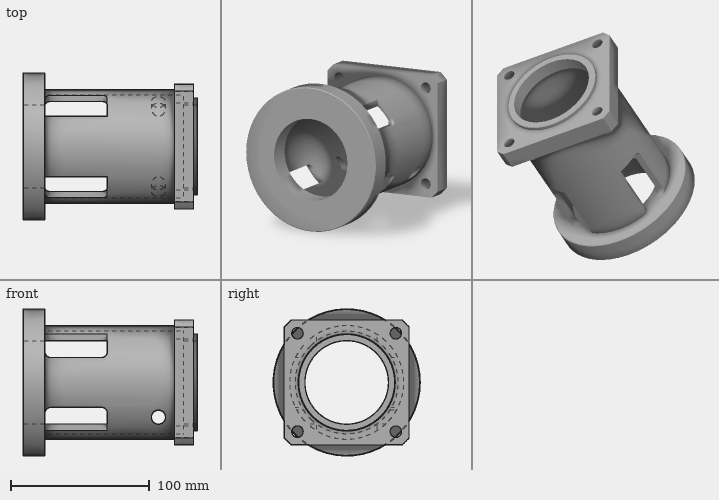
import cadquery as cq
import math

total_length = 125.8
flange_thickness = 16.0
plate_thickness = 14.0
spigot_length = 2.8
spigot_start = total_length - spigot_length
plate_start = spigot_start - plate_thickness
end_wall_thickness = 10.0
tube_bore_end = total_length - end_wall_thickness

flange_diameter = 106.0
tube_diameter = 82.0
tube_bore_diameter = 74.0
end_bore_diameter = 60.0
spigot_diameter = 70.0
edge_chamfer = 0.5

plate_width = 90.0
plate_corner_chamfer = 5.0
bolt_hole_diameter = 8.2
bolt_circle_diameter = 100.0

window_length = 44.7
window_y = 21.8
window_z = 18.0
window_corner_radius = 4.0

cross_hole_diameter = 10.0
cross_hole_x = 97.6
cross_hole_z = -25.0


def x_cylinder(diameter, start, end):
    """Solid cylinder about the X axis between two X positions."""
    return cq.Workplane("YZ").workplane(offset=start).circle(diameter / 2).extrude(end - start)


def make_plate():
    """Square plate with bevelled corners and four bolt holes."""
    bolt_spacing = bolt_circle_diameter / math.sqrt(2)
    plane = cq.Workplane("YZ").workplane(offset=plate_start)
    plate = plane.rect(plate_width, plate_width).extrude(plate_thickness)
    plate = plate.edges("|X").chamfer(plate_corner_chamfer)
    bolt_holes = (
        plane.rect(bolt_spacing, bolt_spacing, forConstruction=True).vertices()
        .circle(bolt_hole_diameter / 2).extrude(plate_thickness)
    )
    return plate.cut(bolt_holes)


def make_window_cutter():
    """Cutter for the window in the +Y +Z quadrant, rounded where its ends meet the lower flat."""
    reach = tube_diameter / 2
    return (
        cq.Workplane("XY")
        .box(window_length, reach, reach, centered=False)
        .edges("|Y and <Z").fillet(window_corner_radius)
        .translate((flange_thickness, window_y, window_z))
    )


def make_cross_hole_cutter():
    """Cutter for the hole parallel to Y, below the tube axis."""
    return (
        cq.Workplane("XZ").center(cross_hole_x, cross_hole_z)
        .circle(cross_hole_diameter / 2).extrude(tube_diameter / 2, both=True)
    )


flange = x_cylinder(flange_diameter, 0, flange_thickness).edges().chamfer(edge_chamfer)
tube = x_cylinder(tube_diameter, flange_thickness, plate_start)
spigot = x_cylinder(spigot_diameter, spigot_start, total_length)
spigot = spigot.faces(">X").edges().chamfer(edge_chamfer)
body = flange.union(tube).union(make_plate()).union(spigot)

body = body.cut(x_cylinder(end_bore_diameter, 0, total_length))
body = body.cut(x_cylinder(tube_bore_diameter, flange_thickness, tube_bore_end))

window = make_window_cutter()
for cutter in (window, window.mirror("XZ")):
    body = body.cut(cutter).cut(cutter.mirror("XY"))

result = body.cut(make_cross_hole_cutter())